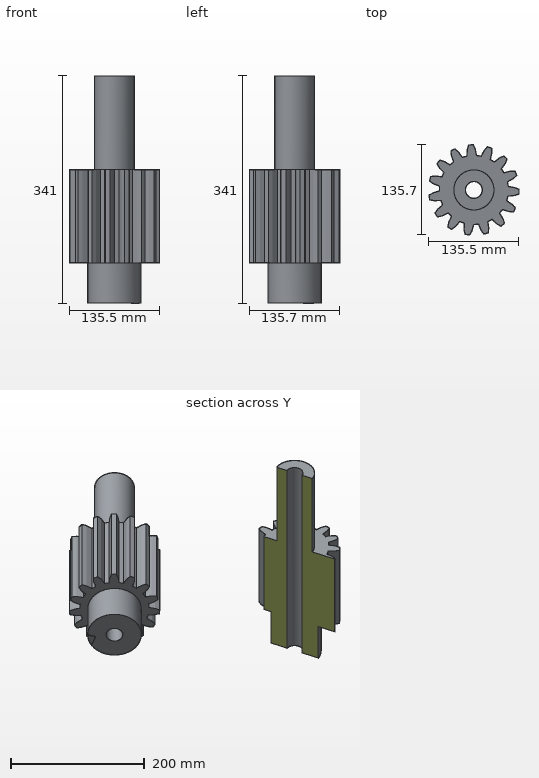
import cadquery as cq
import math

TOTAL_LENGTH = 341.0
MARK_HEIGHT = 1.0
JOURNAL_LENGTH = 60.0
GEAR_LENGTH = 139.8
JOURNAL_BOTTOM = -TOTAL_LENGTH / 2 + MARK_HEIGHT
GEAR_BOTTOM = JOURNAL_BOTTOM + JOURNAL_LENGTH
GEAR_TOP = GEAR_BOTTOM + GEAR_LENGTH
SHAFT_LENGTH = TOTAL_LENGTH / 2 - GEAR_TOP

BORE_DIAMETER = 25.0
SHAFT_DIAMETER = 60.0
JOURNAL_DIAMETER = 80.0

TOOTH_COUNT = 15
FIRST_TOOTH_ANGLE = -2.3
ROOT_RADIUS = 52.0
FLANK_RADIUS = 61.5
TIP_RADIUS = 68.0
ROOT_WIDTH = 16.4
FLANK_WIDTH = 11.4
TIP_WIDTH = 6.0

MARK_X = 31.0
MARK_Y = -20.5
MARK_SIZE_X = 11.0
MARK_SIZE_Y = 15.0


def polar(radius, degrees):
    angle = math.radians(degrees)
    return (radius * math.cos(angle), radius * math.sin(angle))


def gear():
    """Spur gear with two flat faces on each flank and round tip and root lands."""
    pitch = 360 / TOOTH_COUNT
    outline = cq.Workplane("XY", origin=(0, 0, GEAR_BOTTOM))
    outline = outline.moveTo(*polar(ROOT_RADIUS, FIRST_TOOTH_ANGLE - ROOT_WIDTH / 2))
    for tooth in range(TOOTH_COUNT):
        center = FIRST_TOOTH_ANGLE + tooth * pitch
        outline = outline.lineTo(*polar(FLANK_RADIUS, center - FLANK_WIDTH / 2))
        outline = outline.lineTo(*polar(TIP_RADIUS, center - TIP_WIDTH / 2))
        outline = outline.threePointArc(
            polar(TIP_RADIUS, center),
            polar(TIP_RADIUS, center + TIP_WIDTH / 2),
        )
        outline = outline.lineTo(*polar(FLANK_RADIUS, center + FLANK_WIDTH / 2))
        outline = outline.lineTo(*polar(ROOT_RADIUS, center + ROOT_WIDTH / 2))
        outline = outline.threePointArc(
            polar(ROOT_RADIUS, center + pitch / 2),
            polar(ROOT_RADIUS, center + pitch - ROOT_WIDTH / 2),
        )
    return outline.close().extrude(GEAR_LENGTH)


def cylinder(diameter, bottom, length):
    return cq.Workplane("XY", origin=(0, 0, bottom)).circle(diameter / 2).extrude(length)


def end_mark():
    """Low pad standing proud of the lower end face, trimmed to the journal's outline."""
    bottom = -TOTAL_LENGTH / 2
    pad = cq.Workplane("XY", origin=(MARK_X, MARK_Y, bottom))
    pad = pad.rect(MARK_SIZE_X, MARK_SIZE_Y).extrude(MARK_HEIGHT)
    return pad.intersect(cylinder(JOURNAL_DIAMETER, bottom, MARK_HEIGHT))


journal = cylinder(JOURNAL_DIAMETER, JOURNAL_BOTTOM, JOURNAL_LENGTH)
shaft = cylinder(SHAFT_DIAMETER, GEAR_TOP, SHAFT_LENGTH)
bore = cylinder(BORE_DIAMETER, -TOTAL_LENGTH / 2, TOTAL_LENGTH)

result = journal.union(gear()).union(shaft).union(end_mark()).cut(bore)